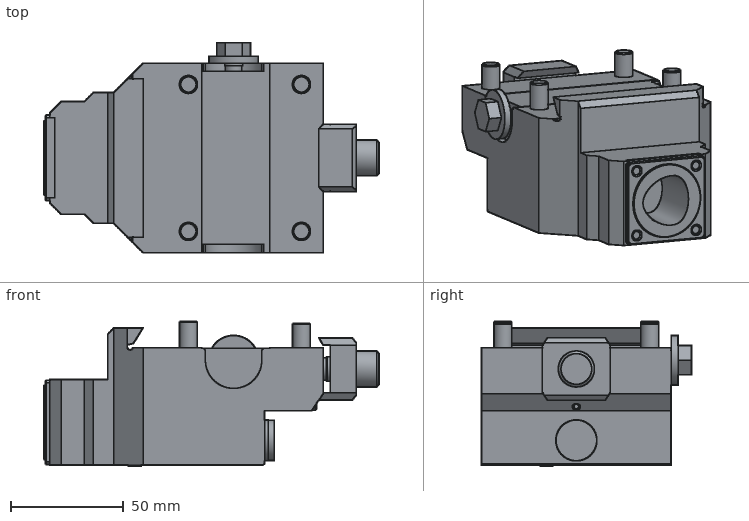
import cadquery as cq
import math

EMBED = 1.0

FRONT_X = 2.7
NOSE_HALF = 20.0
NOSE_BEVEL = 5.0
NECK_HALF = NOSE_HALF + NOSE_BEVEL
SHOULDER_X = 18.0
SHOULDER_BEVEL = 4.0
SHOULDER_HALF = NECK_HALF + SHOULDER_BEVEL
FLARE_X = 31.0
BODY_HALF = 42.0
BODY_X = FLARE_X + BODY_HALF - SHOULDER_HALF
REAR_X = 123.7

NOSE_TOP = 38.0
DECK_Z = 52.0
UPRIGHT_TOP = DECK_Z + 8.8

STEP_X = 97.7
STEP_Z = 24.1
REAR_BEVEL_X = 5.2
REAR_BEVEL_Z = 7.6
FLOOR_CHAMFER = 0.7

UPRIGHT_X = 28.3
UPRIGHT_CHAMFER = 2.75
UPRIGHT_HALF = 35.0
UNDERCUT_ROOT_X = FLARE_X + UPRIGHT_HALF - SHOULDER_HALF
UNDERCUT_SLOPE_X = 39.7
UNDERCUT_SLOPE_Z = DECK_Z + 1.9
UNDERCUT_ROOT_Z = DECK_Z + 1.2
RELIEF_WIDTH = 2.4
RELIEF_DEPTH = 0.9
SIDE_RELIEF_WIDTH = 1.6

CHANNEL_CENTER_X = 85.0
CHANNEL_WIDTH = 30.0
CHANNEL_DEPTH = 0.2

POCKET_X = 84.0
POCKET_Z = 46.5
POCKET_DIAMETER = 25.0
POCKET_DEPTH = 3.7
POCKET_MOUTH_CHAMFER = 0.9
FLANGE_DIAMETER = 22.0
FLANGE_THICKNESS = 3.0
HEX_FLATS = 13.0
HEX_HEIGHT = 6.0
HEX_CORNERS = HEX_FLATS / math.cos(math.pi / 6)
COLLAR_DIAMETER = 8.0
COLLAR_LENGTH = 1.2
SHANK_DIAMETER = 7.4

PLATE_X = 0.6
PLATE_WIDTH = 38.0
PLATE_CHAMFER = 0.6
PLATE_CORNER_CHAMFER = 1.3
SPINDLE_Z = 19.0
PLATE_HEIGHT = 37.4
PLATE_TOP = SPINDLE_Z + PLATE_HEIGHT / 2
PLATE_BOTTOM = SPINDLE_Z - PLATE_HEIGHT / 2
PLATE_SEAT_WIDTH = PLATE_WIDTH - 2 * PLATE_CORNER_CHAMFER
PLATE_SEAT_X = 4.9
FACE_DIAMETER = 33.0
FACE_CHAMFER = 0.3
SCREW_SPACING = 29.0
SCREW_FLOOR_DIAMETER = 3.5
SCREW_SEAT_DIAMETER = 4.9
SCREW_SEAT_DEPTH = 0.5

BORE_DIAMETER = 22.3
BORE_LOBE = 0.7
BORE_DEPTH = 26.0
BORE_TAPER = 0.05
BORE_POINTS = 60

PIN_DIAMETER = 8.0
PIN_SPACING_X = 50.0
PIN_SPACING_Y = 65.0
FRONT_PIN_X = 64.0
FRONT_PIN_TOP = 63.77
REAR_PIN_TOP = 62.9
PIN_CHAMFER = 0.6

JAW_Z = 42.6
JAW_HEIGHT = 27.6
JAW_WIDTH = 30.0
JAW_TIP_X = 121.7
JAW_WEB_X = 126.7
JAW_BACK_X = 138.3
JAW_LIP = 3.3
JAW_HOOK = 1.9
JAW_BACK_CHAMFER_X = 1.8
JAW_BACK_CHAMFER_Z = 2.2
JAW_SIDE_BEVEL = 2.2
STUD_DIAMETER = 10.0
STUD_COLLAR_DIAMETER = 11.0
STUD_COLLAR_X = 124.7
STUD_COLLAR_CHAMFER = 0.7
HEAD_DIAMETER = 16.0
HEAD_END_X = 148.45
HEAD_CHAMFER = 1.2

PLUG_DIAMETER = 18.2
PLUG_CAP_DIAMETER = 18.0
PLUG_CAP_X = 99.4
PLUG_Z = 11.0
PLUG_END_X = 102.0
FOOT_DIAMETER = 5.7
FOOT_X = 40.2
FOOT_Y = -13.2
FOOT_DROP = 0.5
NOZZLE_DIAMETER = 3.5
NOZZLE_Z = 26.0
NOZZLE_END_X = 120.8
NOZZLE_CHAMFER = 0.7


def box(x_range, y_range, z_range):
    (x0, x1), (y0, y1), (z0, z1) = x_range, y_range, z_range
    return cq.Workplane("XY").box(x1 - x0, y1 - y0, z1 - z0, centered=False).translate((x0, y0, z0))


def rod_x(diameter, x0, x1, z, y=0):
    return cq.Workplane("YZ", origin=(x0, y, z)).circle(diameter / 2).extrude(x1 - x0)


def rod_y(diameter, y0, y1):
    """Rod along Y on the axis of the flank pockets."""
    return cq.Workplane("XZ", origin=(POCKET_X, y0, POCKET_Z)).circle(diameter / 2).extrude(y0 - y1)


def side_profile(points, half_width):
    """Prism along Y, symmetric about Y = 0, from X-Z points."""
    return cq.Workplane("XZ").polyline(points).close().extrude(half_width, both=True)


def make_housing():
    half_plan = [
        (FRONT_X, NOSE_HALF),
        (FRONT_X + NOSE_BEVEL, NECK_HALF),
        (SHOULDER_X, NECK_HALF),
        (SHOULDER_X + SHOULDER_BEVEL, SHOULDER_HALF),
        (FLARE_X, SHOULDER_HALF),
        (BODY_X, BODY_HALF),
        (REAR_X, BODY_HALF),
    ]
    mirrored = [(x, -y) for x, y in reversed(half_plan)]
    plan = cq.Workplane("XY").polyline(half_plan + mirrored).close().extrude(UPRIGHT_TOP)
    base_outline = [
        (FRONT_X, 0),
        (STEP_X - FLOOR_CHAMFER, 0),
        (STEP_X, FLOOR_CHAMFER),
        (STEP_X, STEP_Z),
        (REAR_X - REAR_BEVEL_X, STEP_Z),
        (REAR_X, STEP_Z + REAR_BEVEL_Z),
        (REAR_X, DECK_Z),
        (UPRIGHT_X, DECK_Z),
        (UPRIGHT_X, NOSE_TOP),
        (FRONT_X, NOSE_TOP),
    ]
    upright_outline = [
        (UPRIGHT_X, DECK_Z - EMBED),
        (UPRIGHT_X, UPRIGHT_TOP - UPRIGHT_CHAMFER),
        (UPRIGHT_X + UPRIGHT_CHAMFER, UPRIGHT_TOP),
        (BODY_X, UPRIGHT_TOP),
        (UNDERCUT_SLOPE_X, UNDERCUT_SLOPE_Z),
        (UNDERCUT_ROOT_X, UNDERCUT_ROOT_Z),
        (UNDERCUT_ROOT_X, DECK_Z - EMBED),
    ]
    base = side_profile(base_outline, BODY_HALF)
    upright = side_profile(upright_outline, UPRIGHT_HALF)
    return plan.intersect(base.union(upright))


def cut_reliefs(body):
    """Corner reliefs where the upright rises from the deck."""
    radius = RELIEF_WIDTH / 2
    rear_relief = cq.Workplane("XZ").circle(radius).extrude(BODY_HALF, both=True)
    center_z = DECK_Z + radius - RELIEF_DEPTH
    body = body.cut(rear_relief.translate((UNDERCUT_ROOT_X + radius, 0, center_z)))
    side_y = UPRIGHT_HALF + SIDE_RELIEF_WIDTH / 2
    for y in (-side_y, side_y):
        body = body.cut(rod_x(SIDE_RELIEF_WIDTH, FLARE_X, UNDERCUT_ROOT_X + RELIEF_WIDTH, DECK_Z, y))
    return body


def cut_deck_channel(body):
    x0 = CHANNEL_CENTER_X - CHANNEL_WIDTH / 2
    z_range = (DECK_Z - CHANNEL_DEPTH, UPRIGHT_TOP)
    return body.cut(box((x0, x0 + CHANNEL_WIDTH), (-BODY_HALF, BODY_HALF), z_range))


def cut_flank_pockets(body):
    radius = POCKET_DIAMETER / 2
    floor_z = DECK_Z - CHANNEL_DEPTH
    half_outline = [
        (radius, 0),
        (radius, floor_z - POCKET_MOUTH_CHAMFER - POCKET_Z),
        (radius + POCKET_MOUTH_CHAMFER, floor_z - POCKET_Z),
        (radius + POCKET_MOUTH_CHAMFER, UPRIGHT_TOP - POCKET_Z),
    ]
    mirrored = [(-x, z) for x, z in reversed(half_outline)]
    for y0 in (-BODY_HALF, BODY_HALF - POCKET_DEPTH):
        plane = cq.Workplane("XZ", origin=(POCKET_X, y0, POCKET_Z))
        mouth = plane.polyline(half_outline + mirrored).close().extrude(-POCKET_DEPTH)
        body = body.cut(rod_y(POCKET_DIAMETER, y0, y0 + POCKET_DEPTH)).cut(mouth)
    return body


def add_flanged_screw(body):
    flange_end = BODY_HALF + FLANGE_THICKNESS
    body = body.union(rod_y(SHANK_DIAMETER, BODY_HALF - POCKET_DEPTH - EMBED, BODY_HALF))
    body = body.union(rod_y(COLLAR_DIAMETER, BODY_HALF - COLLAR_LENGTH, BODY_HALF))
    body = body.union(rod_y(FLANGE_DIAMETER, BODY_HALF, flange_end))
    hex_plane = cq.Workplane("XZ", origin=(POCKET_X, flange_end, POCKET_Z))
    return body.union(hex_plane.polygon(6, HEX_CORNERS).extrude(-HEX_HEIGHT))


def add_front_plate(body):
    seat_half = PLATE_SEAT_WIDTH / 2
    body = body.cut(box((0, PLATE_SEAT_X), (-seat_half, seat_half), (PLATE_TOP, NOSE_TOP)))
    half = PLATE_WIDTH / 2
    plate = box((PLATE_X, FRONT_X + EMBED), (-half, half), (PLATE_BOTTOM, PLATE_TOP))
    plate = plate.edges("|X").chamfer(PLATE_CORNER_CHAMFER)
    plate = plate.faces("<X").chamfer(PLATE_CHAMFER)
    face = rod_x(FACE_DIAMETER, 0, PLATE_X + EMBED, SPINDLE_Z).faces("<X").chamfer(FACE_CHAMFER)
    body = body.union(plate).union(face)
    for side_y in (-1, 1):
        for side_z in (-1, 1):
            y = side_y * SCREW_SPACING / 2
            z = SPINDLE_Z + side_z * SCREW_SPACING / 2
            rim = cq.Workplane("YZ", origin=(PLATE_X, y, z)).circle(SCREW_SEAT_DIAMETER / 2)
            seat = rim.workplane(offset=SCREW_SEAT_DEPTH).circle(SCREW_FLOOR_DIAMETER / 2).loft()
            body = body.cut(seat)
    return body


def lobed_outline(x, diameter):
    """Closed three-lobed curve with one lobe toward +Y, from its support function."""
    points = []
    for i in range(BORE_POINTS):
        a = 2 * math.pi * i / BORE_POINTS
        reach = diameter / 2 + BORE_LOBE * math.cos(3 * a)
        slope = -3 * BORE_LOBE * math.sin(3 * a)
        y = reach * math.cos(a) - slope * math.sin(a)
        z = reach * math.sin(a) + slope * math.cos(a)
        points.append(cq.Vector(x, y, SPINDLE_Z + z))
    return cq.Wire.assembleEdges([cq.Edge.makeSpline(points, periodic=True)])


def cut_spindle_bore(body):
    mouth = lobed_outline(0, BORE_DIAMETER)
    floor = lobed_outline(BORE_DEPTH, BORE_DIAMETER - BORE_TAPER * BORE_DEPTH)
    return body.cut(cq.Workplane(cq.Solid.makeLoft([mouth, floor])))


def add_locating_pins(body):
    for x, top in ((FRONT_PIN_X, FRONT_PIN_TOP), (FRONT_PIN_X + PIN_SPACING_X, REAR_PIN_TOP)):
        for side in (-1, 1):
            plane = cq.Workplane("XY", origin=(x, side * PIN_SPACING_Y / 2, DECK_Z - EMBED))
            pin = plane.circle(PIN_DIAMETER / 2).extrude(top - DECK_Z + EMBED)
            body = body.union(pin.faces(">Z").chamfer(PIN_CHAMFER))
    return body


def make_jaw():
    half_height = JAW_HEIGHT / 2
    half_width = JAW_WIDTH / 2
    upper = [
        (JAW_WEB_X, half_height - JAW_LIP),
        (JAW_TIP_X + JAW_HOOK, half_height - JAW_LIP),
        (JAW_TIP_X, half_height),
        (JAW_BACK_X - JAW_BACK_CHAMFER_X, half_height),
        (JAW_BACK_X, half_height - JAW_BACK_CHAMFER_Z),
    ]
    lower = [(x, -z) for x, z in reversed(upper)]
    profile = side_profile(upper + lower, half_width)
    bevel_start = half_height - JAW_LIP
    upper_section = [
        (-half_width, bevel_start),
        (JAW_SIDE_BEVEL - half_width, half_height),
        (half_width - JAW_SIDE_BEVEL, half_height),
        (half_width, bevel_start),
    ]
    lower_section = [(y, -z) for y, z in reversed(upper_section)]
    section = cq.Workplane("YZ", origin=(JAW_TIP_X, 0, 0)).polyline(upper_section + lower_section).close()
    return profile.intersect(section.extrude(JAW_BACK_X - JAW_TIP_X)).translate((0, 0, JAW_Z))


def add_clamp(body):
    head = rod_x(HEAD_DIAMETER, JAW_BACK_X - EMBED, HEAD_END_X, JAW_Z).faces(">X").chamfer(HEAD_CHAMFER)
    stud = rod_x(STUD_DIAMETER, REAR_X - EMBED, JAW_WEB_X + EMBED, JAW_Z)
    collar = rod_x(STUD_COLLAR_DIAMETER, STUD_COLLAR_X, JAW_WEB_X + EMBED, JAW_Z)
    collar = collar.faces("<X").chamfer(STUD_COLLAR_CHAMFER)
    return body.union(make_jaw()).union(stud).union(collar).union(head)


def add_small_fittings(body):
    plug = rod_x(PLUG_DIAMETER, STEP_X - EMBED, PLUG_CAP_X, PLUG_Z)
    cap = rod_x(PLUG_CAP_DIAMETER, PLUG_CAP_X - EMBED, PLUG_END_X, PLUG_Z)
    nozzle = rod_x(NOZZLE_DIAMETER, REAR_X - REAR_BEVEL_X - EMBED, NOZZLE_END_X, NOZZLE_Z)
    nozzle = nozzle.faces(">X").chamfer(NOZZLE_CHAMFER)
    foot_plane = cq.Workplane("XY", origin=(FOOT_X, FOOT_Y, -FOOT_DROP))
    foot = foot_plane.circle(FOOT_DIAMETER / 2).extrude(FOOT_DROP + EMBED)
    return body.union(plug).union(cap).union(nozzle).union(foot)


result = make_housing()
result = cut_reliefs(result)
result = cut_deck_channel(result)
result = cut_flank_pockets(result)
result = add_flanged_screw(result)
result = add_front_plate(result)
result = cut_spindle_bore(result)
result = add_locating_pins(result)
result = add_clamp(result)
result = add_small_fittings(result)